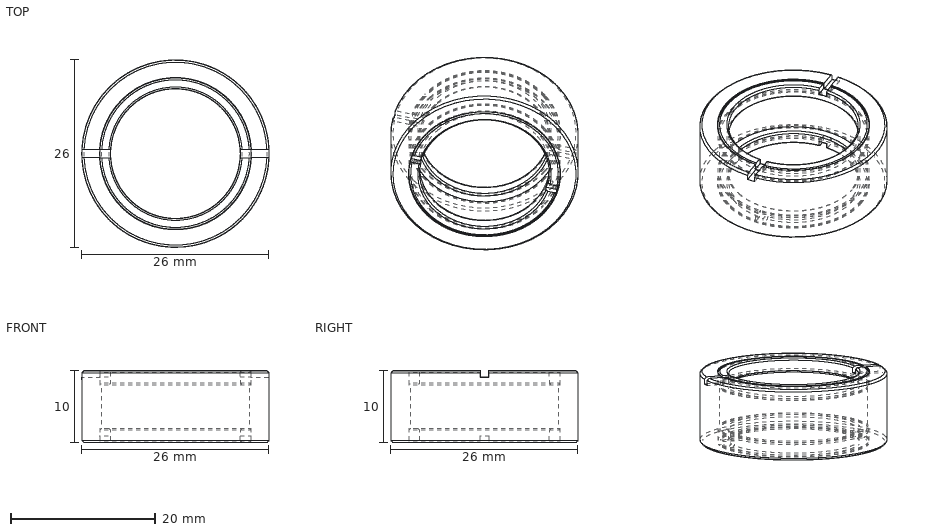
import cadquery as cq

outer_diameter = 26.0
height = 10.0
outer_chamfer = 0.3
middle_bore = 20.5
seat_diameter = 21.0
seat_chamfer = 0.05

ring_bore = 18.0
ring_height = 2.0
ring_outer_chamfer = 0.25
ring_bore_chamfer = 0.25

ring_slot_width = 1.2
ring_slot_depth = 0.9
sleeve_slot_width = 1.1
sleeve_slot_depth = 1.0


def disc(diameter, base, thickness):
    """Vertical cylinder on the Z axis."""
    return cq.Workplane("XY", origin=(0, 0, base)).circle(diameter / 2).extrude(thickness)


def slot_cutter(width, depth, top):
    """Bar along X that cuts a slot down from the given height."""
    return cq.Workplane("XY", origin=(0, 0, top)).box(2 * outer_diameter, width, 2 * depth)


def make_sleeve():
    """Chamfered tube with a ring seat at each end and a slot across its top face."""
    sleeve = disc(outer_diameter, 0, height).faces("<Z or >Z").chamfer(outer_chamfer)
    sleeve = sleeve.cut(disc(middle_bore, 0, height))
    for seat_base in (0, height - ring_height):
        sleeve = sleeve.cut(disc(seat_diameter, seat_base, ring_height))
    seat_rims = sleeve.faces("<Z or >Z").edges(cq.selectors.RadiusNthSelector(0))
    sleeve = seat_rims.chamfer(seat_chamfer)
    return sleeve.cut(slot_cutter(sleeve_slot_width, sleeve_slot_depth, height))


def make_upper_ring():
    """Retaining ring flush with the sleeve top, with a driver slot across its top face."""
    base = height - ring_height
    ring = disc(seat_diameter, base, ring_height).faces("<Z or >Z").chamfer(ring_outer_chamfer)
    ring = ring.cut(disc(ring_bore, base, ring_height))
    ring = ring.edges(cq.selectors.RadiusNthSelector(0)).chamfer(ring_bore_chamfer)
    return ring.cut(slot_cutter(ring_slot_width, ring_slot_depth, height))


sleeve = make_sleeve()
upper_ring = make_upper_ring()

lower_ring = upper_ring.mirror("XY", (0, 0, height / 2))

result = cq.Compound.makeCompound([sleeve.val(), upper_ring.val(), lower_ring.val()])